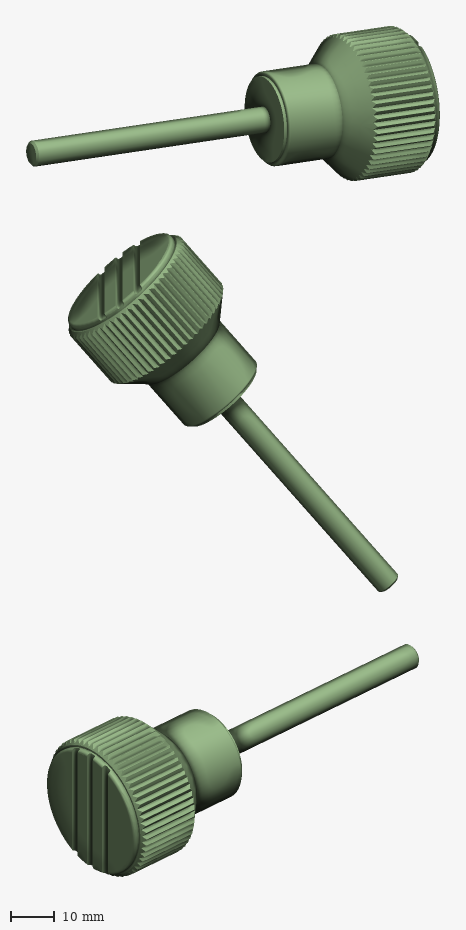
import cadquery as cq
import math


pin_diameter = 6.0
pin_length = 60.0
pin_chamfer = 0.5

collar_diameter = 20.0
collar_length = 0.75
neck_diameter = 22.0
neck_length = 13.75
neck_fillet = 0.5
grip_diameter = 34.0
grip_length = 15.5
grip_chamfer = 1.0
cap_diameter = 31.0
cap_length = 1.5
cap_fillet = 0.75

knurl_count = 60
knurl_depth = 0.75
tooth_tip_width = 0.05

cap_groove_count = 3
cap_groove_pitch = 5.3
cap_groove_width = 2.0
cap_groove_depth = 1.0
cap_groove_fillet = 0.5

pin_radius = pin_diameter / 2
collar_radius = collar_diameter / 2
neck_radius = neck_diameter / 2
grip_radius = grip_diameter / 2
cap_radius = cap_diameter / 2

neck_start = collar_length
neck_end = neck_start + neck_length
cone_length = grip_radius - neck_radius
grip_start = neck_end + cone_length
grip_end = grip_start + grip_length
cap_end = grip_end + cap_length


def turned_body():
    """Pin, collar, neck, cone, grip and cap as one revolved profile."""
    neck_mid = neck_fillet * math.sqrt(0.5)
    cap_mid = cap_fillet * math.sqrt(0.5)
    profile = (
        cq.Workplane("XY")
        .moveTo(0, -pin_length)
        .lineTo(pin_radius - pin_chamfer, -pin_length)
        .lineTo(pin_radius, -pin_length + pin_chamfer)
        .lineTo(pin_radius, 0)
        .lineTo(collar_radius, 0)
        .lineTo(collar_radius, neck_start)
        .lineTo(neck_radius - neck_fillet, neck_start)
        .threePointArc(
            (neck_radius - neck_fillet + neck_mid, neck_start + neck_fillet - neck_mid),
            (neck_radius, neck_start + neck_fillet),
        )
        .lineTo(neck_radius, neck_end)
        .lineTo(grip_radius, grip_start)
        .lineTo(grip_radius, grip_end - grip_chamfer)
        .lineTo(grip_radius - grip_chamfer, grip_end)
        .lineTo(cap_radius, grip_end)
        .lineTo(cap_radius, cap_end - cap_fillet)
        .threePointArc(
            (cap_radius - cap_fillet + cap_mid, cap_end - cap_fillet + cap_mid),
            (cap_radius - cap_fillet, cap_end),
        )
        .lineTo(0, cap_end)
        .close()
    )
    return profile.revolve(360, (0, 0, 0), (0, 1, 0))


def knurl_grooves():
    """V-groove cutters spaced so that a tooth, not a groove, sits on each of the X and Z axes."""
    overcut = 0.5
    root_radius = grip_radius - knurl_depth
    outer_radius = grip_radius + overcut
    half_angle = math.pi / knurl_count - tooth_tip_width / grip_diameter
    flank_end_x = grip_radius * math.cos(half_angle)
    flank_end_z = grip_radius * math.sin(half_angle)
    half_width = flank_end_z * (outer_radius - root_radius) / (flank_end_x - root_radius)
    cutter = (
        cq.Workplane("XZ", origin=(0, grip_end, 0))
        .polyline([(root_radius, 0), (outer_radius, half_width), (outer_radius, -half_width)])
        .close()
        .extrude(grip_end - neck_end)
        .val()
    )
    step = 360 / knurl_count
    angles = [(index + 0.5) * step for index in range(knurl_count)]
    return [cutter.rotate(cq.Vector(0, 0, 0), cq.Vector(0, 1, 0), angle) for angle in angles]


def cap_grooves():
    """Parallel cutters centred on the cap face, so their lower halves form the grooves."""
    first_x = -cap_groove_pitch * (cap_groove_count - 1) / 2
    centres = [(first_x + index * cap_groove_pitch, cap_end) for index in range(cap_groove_count)]
    return (
        cq.Workplane("XY")
        .pushPoints(centres)
        .rect(cap_groove_width, 2 * cap_groove_depth)
        .extrude(cap_radius, both=True)
        .edges("|Z")
        .fillet(cap_groove_fillet)
    )


knurled_body = turned_body().val().cut(*knurl_grooves())
result = cq.Workplane(obj=knurled_body).cut(cap_grooves())